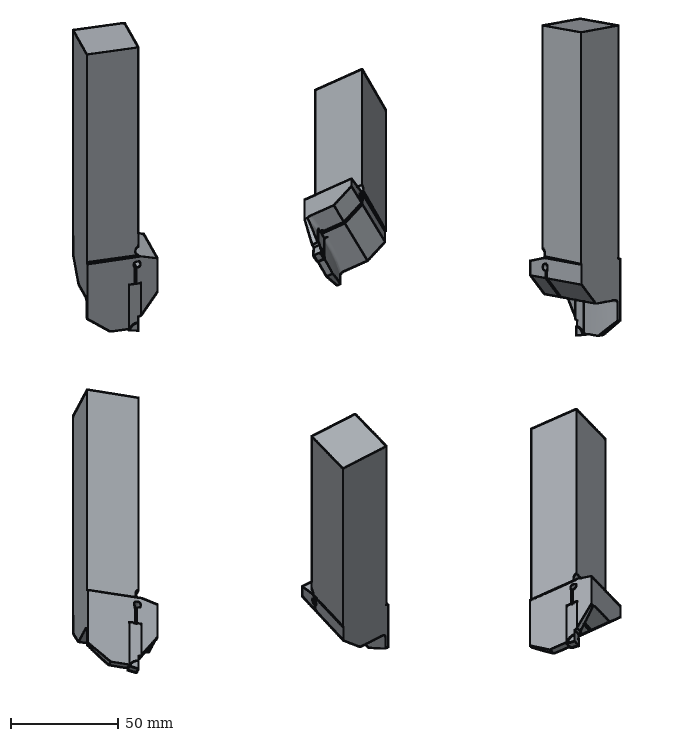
import cadquery as cq
import math

total_height = 150
shank_width = 24.8
shank_depth = 25.0
shank_lean = 0.5

head_left = 0.9
head_right = 26.2
head_lean = 0.6
head_depth = 34.0
head_bottom = 20.0
head_top = 39.6
head_ledge_drop = 0.6
left_step_height = 1.0
left_chamfer_width = 9.3
left_chamfer_height = 10.2
back_top = 37.0
back_bottom = 19.2

relief_radius = 2.5
relief_y = 26.1
relief_z = 41.8

blade_left = 22.5
blade_center_y = 18
blade_radius = 82.5
blade_bottom = 1.5
blade_front_bottom = 9.9
blade_toe_y = 11.1
blade_fillet = 1.8

insert_front = 20.2
insert_back = 26.1
insert_top = 25.0
insert_left = 22.4
insert_right = 25.6
insert_heel_z = 7.8
tip_back = 24.8
tip_rise = 0.8
tip_left = 21.9
tip_right = 26.0
tip_height = 4.4
tip_front = 20.5
seat_mouth_back = 24.6

slit_y = 23.4
slit_width = 0.9
slit_hole_y = 24.2
slit_hole_z = 35.2
slit_hole_radius = 1.6


def side_prism(left, right):
    """Give a YZ workplane at x = left and the length to extrude it to x = right."""
    return cq.Workplane("YZ", origin=(left, 0, 0)), right - left


def make_shank():
    """Leaning bar, sloped in to the head on its left side."""
    front_left = shank_lean
    outline = [
        (front_left, 0),
        (front_left + shank_width, 0),
        (shank_width, shank_depth),
        (0, shank_depth),
    ]
    shank = (
        cq.Workplane("XY", origin=(0, 0, head_top))
        .polyline(outline)
        .close()
        .extrude(total_height - head_top)
    )
    step_slope = (
        cq.Workplane("XZ")
        .polyline([(0, head_top), (head_left, head_top), (0, head_top + left_step_height)])
        .close()
        .extrude(-shank_depth)
    )
    return shank.cut(step_slope)


def make_head_block():
    """Head above the blade, chamfered on its lower left side."""
    outline = [
        (head_left, head_top),
        (head_left, head_bottom + left_chamfer_height),
        (head_left + left_chamfer_width, head_bottom),
        (head_right, head_bottom),
        (head_right, head_top - head_ledge_drop),
        (shank_lean + shank_width, head_top),
    ]
    return cq.Workplane("XZ").polyline(outline).close().extrude(-head_depth)


def blade_left_at(y):
    offset = y - blade_center_y
    return blade_left + blade_radius - math.sqrt(blade_radius**2 - offset**2)


def make_blade_block():
    """Upright plate whose left face is an arc about a vertical axis."""
    return (
        cq.Workplane("XY")
        .moveTo(blade_left_at(0), 0)
        .threePointArc((blade_left, blade_center_y), (blade_left_at(head_depth), head_depth))
        .lineTo(head_right, head_depth)
        .lineTo(head_right, 0)
        .close()
        .extrude(head_bottom)
    )


def make_side_envelope():
    """Side outline shared by the head and the blade."""
    outline = [
        (0, head_top),
        (0, blade_front_bottom),
        (blade_toe_y, blade_bottom),
        (insert_front, blade_bottom),
        (insert_back, insert_heel_z),
        (head_depth, back_bottom),
        (head_depth, back_top),
        (shank_depth, head_top),
    ]
    plane, length = side_prism(0, head_right)
    return plane.polyline(outline).close().extrude(length)


def make_right_side_trim():
    """Wedge that makes the right side lean with the shank."""
    return (
        cq.Workplane("XY")
        .polyline([(head_right, 0), (head_right, head_depth), (head_right - head_lean, head_depth)])
        .close()
        .extrude(head_top)
    )


def make_relief():
    plane, length = side_prism(0, head_right)
    return plane.center(relief_y, relief_z).circle(relief_radius).extrude(length)


def make_slit():
    plane, length = side_prism(0, head_right)
    slit_height = slit_hole_z - head_bottom
    slit = plane.center(slit_y, head_bottom + slit_height / 2).rect(slit_width, slit_height).extrude(length)
    plane, length = side_prism(0, head_right)
    hole = plane.center(slit_hole_y, slit_hole_z).circle(slit_hole_radius).extrude(length)
    return slit.union(hole)


def make_seat():
    """Pocket that holds the insert, and its open mouth through the blade fillet."""
    plane, length = side_prism(insert_left, head_right)
    pocket = (
        plane.moveTo(insert_front, 0)
        .lineTo(insert_back, 0)
        .lineTo(insert_back, insert_top)
        .lineTo(insert_front, insert_top)
        .close()
        .extrude(length)
    )
    plane, length = side_prism(insert_left - blade_fillet, insert_left)
    mouth = (
        plane.moveTo(insert_front, head_bottom - blade_fillet)
        .lineTo(seat_mouth_back, head_bottom - blade_fillet)
        .lineTo(seat_mouth_back, head_bottom)
        .lineTo(insert_front, head_bottom)
        .close()
        .extrude(length)
    )
    return pocket.union(mouth)


def make_holder():
    blade_corner = cq.selectors.BoxSelector(
        (blade_left - blade_fillet, -1.5, head_bottom - 0.2),
        (head_right - blade_fillet, head_depth + 1.5, head_bottom + 0.2),
    )
    head = make_head_block().union(make_blade_block()).edges(blade_corner).fillet(blade_fillet)
    head = head.intersect(make_side_envelope()).cut(make_right_side_trim())
    body = make_shank().union(head).cut(make_relief())
    return body.cut(make_slit()).cut(make_seat())


def make_insert():
    plane, length = side_prism(insert_left, insert_right)
    bar = (
        plane.moveTo(insert_front, tip_rise)
        .lineTo(tip_back, 0)
        .lineTo(tip_back, insert_heel_z - (insert_back - tip_back) / 2)
        .lineTo(insert_back, insert_heel_z)
        .lineTo(insert_back, insert_top)
        .lineTo(insert_front, insert_top)
        .close()
        .extrude(length)
    )
    tip_radius = tip_back - tip_front
    bulge = tip_radius * math.sqrt(0.5)
    tip_arc_z = tip_height - tip_radius
    plane, length = side_prism(tip_left, tip_right)
    tip = (
        plane.moveTo(tip_back, 0)
        .lineTo(tip_back, tip_height)
        .threePointArc((tip_back - bulge, tip_arc_z + bulge), (tip_front, tip_rise))
        .close()
        .extrude(length)
    )
    return bar.union(tip)


holder = make_holder()
insert = make_insert()
result = cq.Compound.makeCompound([holder.val(), insert.val()])